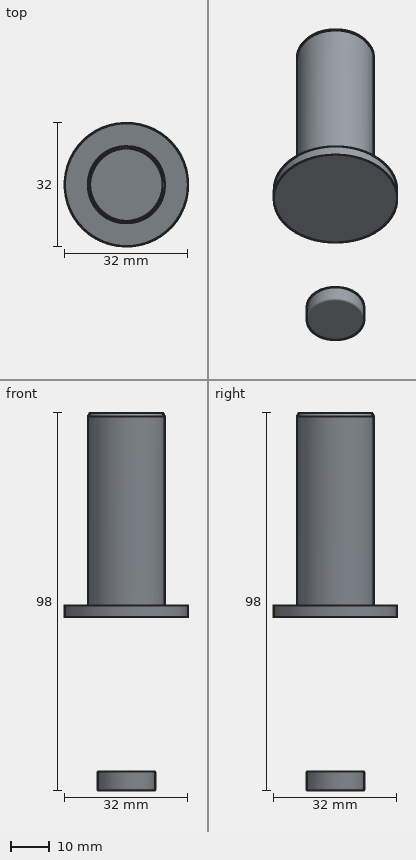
import cadquery as cq

total_height = 98.0

shank_diameter = 20.0
shank_chamfer_height = 1.0
shank_chamfer_width = 0.6
flange_diameter = 32.0
flange_thickness = 3.0
shank_length = 50.0

disc_diameter = 15.0
disc_thickness = 5.0
disc_rim_radius = 0.5

flange_bottom = total_height - shank_length - flange_thickness


def make_pin():
    """Round flange with a shank on top, chamfered at its free end."""
    flange = (
        cq.Workplane("XY")
        .workplane(offset=flange_bottom)
        .circle(flange_diameter / 2)
        .extrude(flange_thickness)
    )
    shank = (
        cq.Workplane("XY")
        .workplane(offset=flange_bottom + flange_thickness)
        .circle(shank_diameter / 2)
        .extrude(shank_length)
        .faces(">Z")
        .edges()
        .chamfer(shank_chamfer_height, shank_chamfer_width)
    )
    return flange.union(shank)


def make_disc():
    """Flat disc with both rims rounded."""
    return (
        cq.Workplane("XY")
        .circle(disc_diameter / 2)
        .extrude(disc_thickness)
        .edges("%CIRCLE")
        .fillet(disc_rim_radius)
    )


pin = make_pin()
disc = make_disc()

result = cq.Compound.makeCompound([pin.val(), disc.val()])